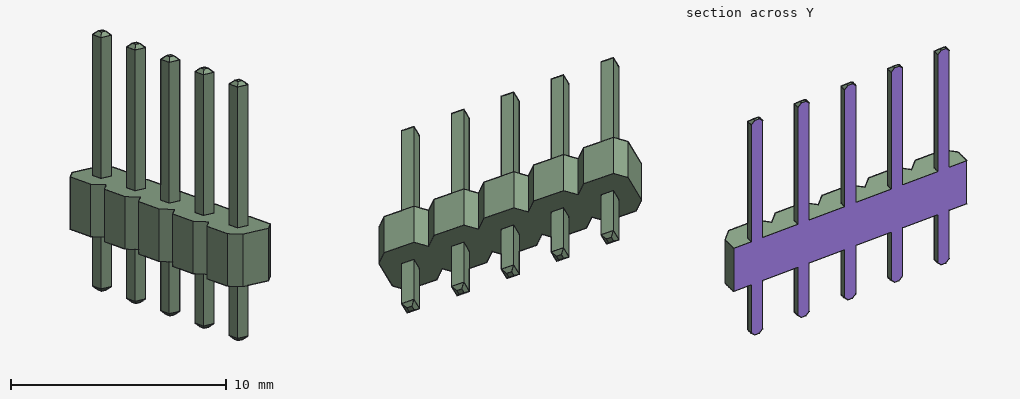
import cadquery as cq

pin_count = 5
pitch = 2.54
housing_height = 2.54
corner_cut = 0.51

pin_width = 0.64
pin_above = 7.0
pin_below = 3.0
tip_cut = 0.19

pin_length = pin_below + housing_height + pin_above
row_centre = (pin_count - 1) / 2
pin_positions = [(index - row_centre) * pitch for index in range(pin_count)]


def make_cell():
    """Square block with its four vertical corners cut at 45 degrees."""
    return (
        cq.Workplane("XY")
        .box(pitch, pitch, housing_height, centered=(True, True, False))
        .edges("|Z")
        .chamfer(corner_cut)
    )


def make_pin():
    """Square pin through the housing, bevelled at both tips."""
    return (
        cq.Workplane("XY")
        .workplane(offset=-pin_below)
        .box(pin_width, pin_width, pin_length, centered=(True, True, False))
        .faces("<Z or >Z")
        .edges()
        .chamfer(tip_cut)
    )


cell_with_pin = make_cell().union(make_pin())
result = cq.Workplane("XY")
for x in pin_positions:
    result = result.union(cell_with_pin.translate((x, 0, 0)))
result = result.clean()